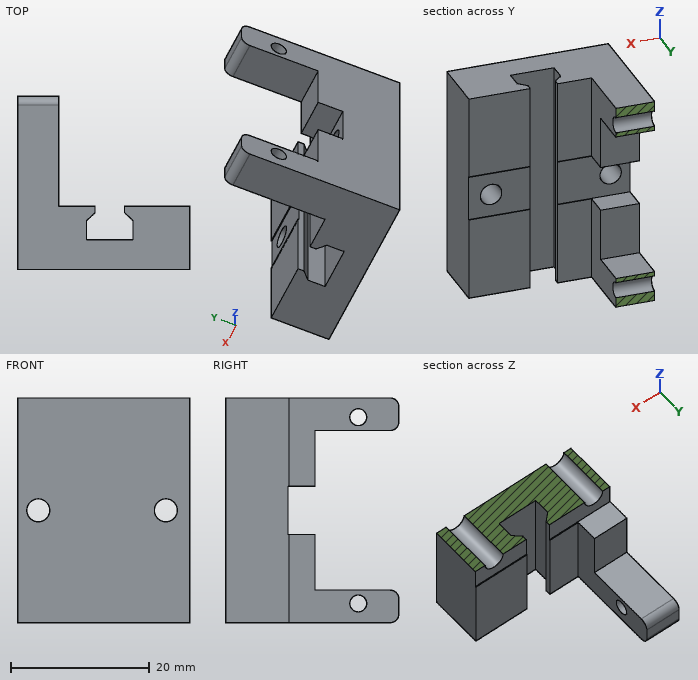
import cadquery as cq

width = 24.97
depth = 25.15
height = 32.6
mid_height = height / 2

block_depth = 9.2
arm_width = 6.0

arm_height = 4.75
window_floor = 12.97
arm_corner_radius = 1.3

notch_height = 6.98
notch_floor = 9.05

slot_center = 13.35
slot_width = 6.7
slot_floor = 4.35
slot_wall_top = 7.07
mouth_width = 4.25
mouth_bottom = 8.25

mount_diameter = 3.3
mount_positions = (3.0, 21.48)
pin_diameter = 2.4
pin_depth_position = 19.25
pin_edge_distance = 2.8


def make_body():
    block = cq.Workplane("XY").box(width, block_depth, height, centered=False)
    wall = (
        cq.Workplane("XY")
        .box(arm_width, depth, height, centered=False)
    )
    window = (
        cq.Workplane("XY")
        .box(arm_width, depth - window_floor, height - 2 * arm_height, centered=False)
        .translate((0, window_floor, arm_height))
    )
    wall = wall.cut(window).faces(">Y").edges("|X").fillet(arm_corner_radius)
    return block.union(wall)


def make_notch():
    return (
        cq.Workplane("XY")
        .box(width, depth - notch_floor, notch_height, centered=False)
        .translate((0, notch_floor, mid_height - notch_height / 2))
    )


def make_slot():
    half_slot = slot_width / 2
    half_mouth = mouth_width / 2
    return (
        cq.Workplane("XY")
        .moveTo(slot_center - half_slot, slot_floor)
        .lineTo(slot_center + half_slot, slot_floor)
        .lineTo(slot_center + half_slot, slot_wall_top)
        .lineTo(slot_center + half_mouth, mouth_bottom)
        .lineTo(slot_center + half_mouth, block_depth)
        .lineTo(slot_center - half_mouth, block_depth)
        .lineTo(slot_center - half_mouth, mouth_bottom)
        .lineTo(slot_center - half_slot, slot_wall_top)
        .close()
        .extrude(height)
    )


def make_mount_holes():
    centers = [(x, mid_height) for x in mount_positions]
    return cq.Workplane("XZ").pushPoints(centers).circle(mount_diameter / 2).extrude(-depth)


def make_pin_holes():
    centers = [(pin_depth_position, z) for z in (pin_edge_distance, height - pin_edge_distance)]
    return cq.Workplane("YZ").pushPoints(centers).circle(pin_diameter / 2).extrude(arm_width)


result = (
    make_body()
    .cut(make_notch())
    .cut(make_slot())
    .cut(make_mount_holes())
    .cut(make_pin_holes())
)